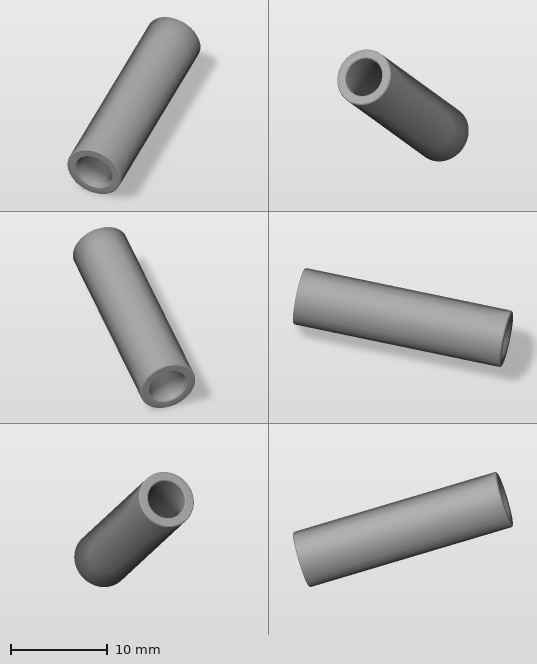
import cadquery as cq

length = 22.0
outer_diameter = 5.95
bore_diameter = 4.0
edge_chamfer = 0.1


def make_tube():
    """Hollow cylinder running along Y."""
    end_face = cq.Workplane("XZ", origin=(0, length / 2, 0))
    return end_face.circle(outer_diameter / 2).circle(bore_diameter / 2).extrude(length)


def break_end_edges(tube):
    """Chamfer every circular edge on the two end faces."""
    return tube.faces("<Y or >Y").edges().chamfer(edge_chamfer)


result = break_end_edges(make_tube())